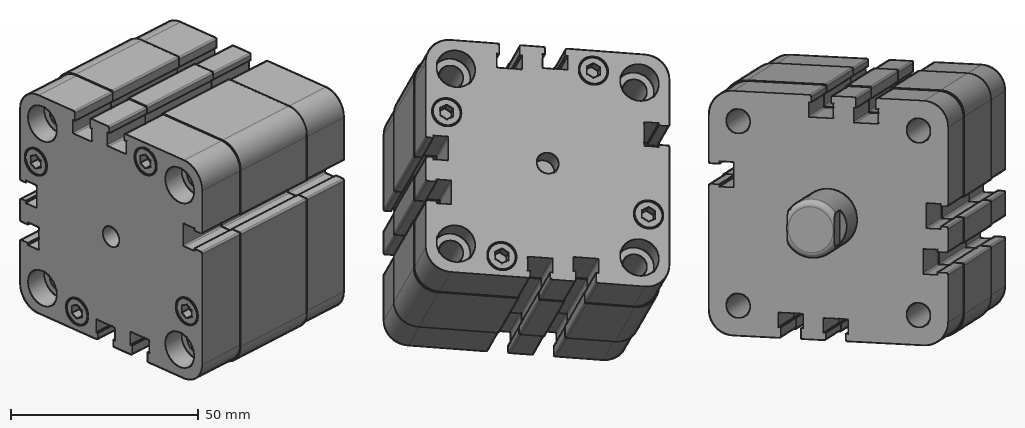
import cadquery as cq
import math

total_length = 73.0
rod_length = 17.4
body_length = total_length - rod_length
cap_length = 14.8
barrel_length = body_length - 2 * cap_length

barrel_width = 67.0
cap_width = 66.4
corner_radius = 6.7

slot_neck_width = 5.4
slot_head_width = 6.7
slot_head_height = 3.7
slot_lip_radius = 0.5
slot_floor_radius = 0.4
deep_slot_offset = -10.45
deep_slot_depth = 6.9
shallow_slot_offset = 2.05
shallow_slot_depth = 6.05

cap_slot_side_relief = 0.1
cap_slot_floor_relief = 0.3

mount_offset = 25.05
mount_diameter = 6.65
mount_bore_diameter = 10.5
mount_bore_depth = 6.35

screw_offset_along = 12.5
screw_offset_out = 27.5
screw_bore_diameter = 8.0
screw_head_diameter = 7.5
screw_gap_depth = 0.3
socket_width = 3.65
socket_depth = 2.9

center_hole_diameter = 6.0
center_hole_depth = 5.85

rod_diameter = 16.0
rod_end_radius = 1.75
flat_spacing = 13.1
flat_length = 5.7

QUARTER_TURNS = (0, 90, 180, 270)


def end_face(y=0):
    """Workplane on the cylinder axis at position y, drawing in X and Z, facing -Y."""
    return cq.Workplane("XZ", origin=(0, y, 0))


def turn(solid, angle):
    """Rotate about the cylinder axis, counter-clockwise when looking toward +Y."""
    return solid.rotate((0, 0, 0), (0, -1, 0), angle)


def block(width, start, length):
    """Square length of housing with rounded corners."""
    prism = end_face(start).rect(width, width).extrude(-length)
    return prism.edges("|Y").fillet(corner_radius)


def slot_section(width, start, length, offset, depth, side_relief, floor_relief):
    """Cutter for a T-slot along Y in the top face of one housing section."""
    top = width / 2
    floor = barrel_width / 2 - depth - floor_relief
    head_height = slot_head_height + floor_relief
    head_middle = floor + head_height / 2
    head = (
        end_face(start)
        .center(offset, head_middle)
        .rect(slot_head_width + 2 * side_relief, head_height)
        .extrude(-length)
        .edges("|Y and <Z")
        .fillet(slot_floor_radius)
    )
    half_neck = slot_neck_width / 2 + side_relief
    half_mouth = half_neck + slot_lip_radius
    lip_start = top - slot_lip_radius
    arc_inset = slot_lip_radius * (1 - math.sqrt(0.5))
    neck = (
        end_face(start)
        .center(offset, 0)
        .moveTo(-half_neck, head_middle)
        .lineTo(half_neck, head_middle)
        .lineTo(half_neck, lip_start)
        .threePointArc((half_neck + arc_inset, top - arc_inset), (half_mouth, top))
        .lineTo(-half_mouth, top)
        .threePointArc((-half_neck - arc_inset, top - arc_inset), (-half_neck, lip_start))
        .close()
        .extrude(-length)
    )
    return head.union(neck)


def housing_section(width, start, length, side_relief=0, floor_relief=0):
    """One length of housing, with deep slots on all sides and shallow ones on all but +X."""
    section = block(width, start, length)
    deep_slot = slot_section(
        width, start, length, deep_slot_offset, deep_slot_depth, side_relief, floor_relief
    )
    shallow_slot = slot_section(
        width, start, length, shallow_slot_offset, shallow_slot_depth, side_relief, floor_relief
    )
    plus_x_turn = 270
    for angle in QUARTER_TURNS:
        section = section.cut(turn(deep_slot, angle))
        if angle != plus_x_turn:
            section = section.cut(turn(shallow_slot, angle))
    return section


def mounting_holes():
    """Cutters for the through holes, counterbored at the closed end."""
    spacing = 2 * mount_offset
    through = (
        end_face()
        .rect(spacing, spacing, forConstruction=True)
        .vertices()
        .circle(mount_diameter / 2)
        .extrude(-body_length)
    )
    counterbores = (
        end_face()
        .rect(spacing, spacing, forConstruction=True)
        .vertices()
        .circle(mount_bore_diameter / 2)
        .extrude(-mount_bore_depth)
    )
    return through.union(counterbores)


def screw_recesses():
    """Cutters for the gaps around the screw heads and their hexagonal sockets."""
    centers = [
        (screw_offset_along, screw_offset_out),
        (-screw_offset_out, screw_offset_along),
        (-screw_offset_along, -screw_offset_out),
        (screw_offset_out, -screw_offset_along),
    ]
    gaps = (
        end_face()
        .pushPoints(centers)
        .circle(screw_bore_diameter / 2)
        .circle(screw_head_diameter / 2)
        .extrude(-screw_gap_depth)
    )
    sockets = (
        end_face()
        .pushPoints(centers)
        .polygon(6, socket_width, circumscribed=True)
        .extrude(-socket_depth)
    )
    return gaps.union(sockets)


def piston_rod():
    """Rod with a rounded end and two flats that run out in 45 degree slopes."""
    rod = (
        end_face(body_length)
        .circle(rod_diameter / 2)
        .extrude(-rod_length)
        .faces(">Y")
        .edges()
        .fillet(rod_end_radius)
    )
    flat_x = flat_spacing / 2
    flat_start = total_length - flat_length
    outer_x = rod_diameter / 2
    flat_cutter = (
        cq.Workplane("XY")
        .moveTo(flat_x, total_length)
        .lineTo(flat_x, flat_start)
        .lineTo(outer_x, flat_start - (outer_x - flat_x))
        .lineTo(outer_x, total_length)
        .close()
        .extrude(rod_diameter / 2, both=True)
    )
    return rod.cut(flat_cutter).cut(flat_cutter.mirror("YZ"))


def end_cap(start):
    """End cap, slightly smaller than the barrel and with roomier slots."""
    return housing_section(cap_width, start, cap_length, cap_slot_side_relief, cap_slot_floor_relief)


barrel_start = cap_length
rod_cap_start = cap_length + barrel_length
result = (
    end_cap(0)
    .union(housing_section(barrel_width, barrel_start, barrel_length))
    .union(end_cap(rod_cap_start))
)

result = result.cut(mounting_holes())
result = result.cut(screw_recesses())
result = result.cut(end_face().circle(center_hole_diameter / 2).extrude(-center_hole_depth))

result = result.union(piston_rod())